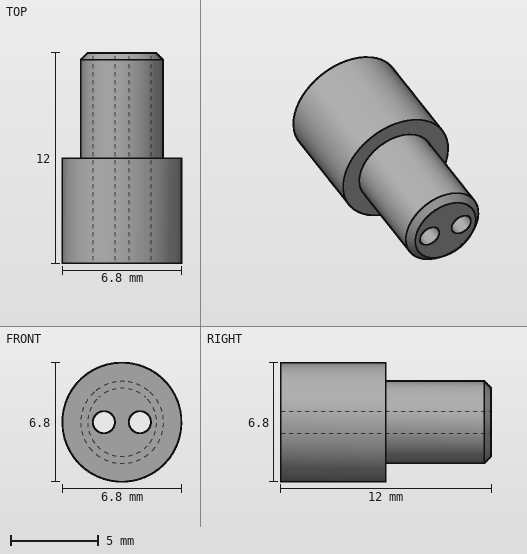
import cadquery as cq

total_length = 12.0
head_length = total_length / 2
head_diameter = 6.8
shank_diameter = 4.7
tip_chamfer = 0.4

hole_diameter = 1.25
hole_spacing = 2.05


def cylinder_along_y(diameter, length, x=0.0):
    """Cylinder starting at the head face (Y = 0) and running toward +Y."""
    axis_start = cq.Vector(x, 0, 0)
    axis_direction = cq.Vector(0, 1, 0)
    return cq.Workplane(cq.Solid.makeCylinder(diameter / 2, length, axis_start, axis_direction))


shank = cylinder_along_y(shank_diameter, total_length).faces(">Y").chamfer(tip_chamfer)
head = cylinder_along_y(head_diameter, head_length)
result = head.union(shank)

for side in (-1, 1):
    result = result.cut(cylinder_along_y(hole_diameter, total_length, side * hole_spacing / 2))